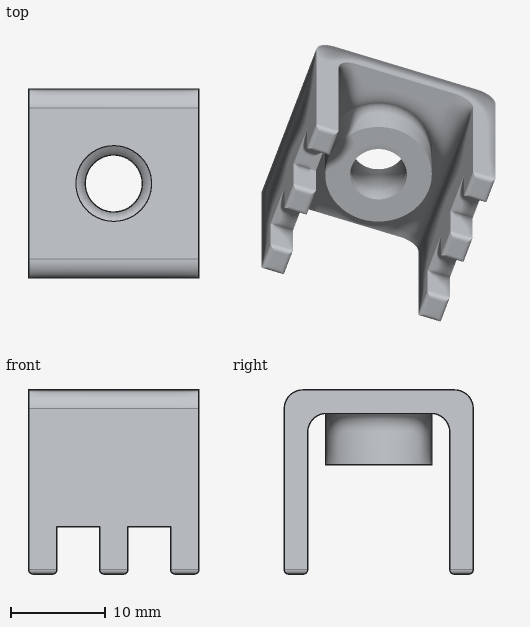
import cadquery as cq

WIDTH = 18.0
DEPTH = 20.0
HEIGHT = 19.5
WALL = 2.5
OUTER_BEND_RADIUS = 2.0
INNER_BEND_RADIUS = 2.0

PINS_PER_WALL = 3
PIN_WIDTH = 3.0
PIN_LENGTH = 5.0
PIN_TIP_RADIUS = 0.5

BOSS_DIAMETER = 11.27
BOSS_BOTTOM_DEPTH = 7.93
HOLE_DIAMETER = 6.0
COUNTERSINK_DIAMETER = 8.0
COUNTERSINK_ANGLE = 90.0

gap_count = PINS_PER_WALL - 1
gap_width = (WIDTH - PINS_PER_WALL * PIN_WIDTH) / gap_count
pin_pitch = PIN_WIDTH + gap_width
boss_length = BOSS_BOTTOM_DEPTH - WALL


def make_channel():
    """Inverted U-shaped channel running along X, with rounded bends."""
    outer = (
        cq.Workplane("XY")
        .box(WIDTH, DEPTH, HEIGHT, centered=(True, True, False))
        .edges("|X and >Z")
        .fillet(OUTER_BEND_RADIUS)
    )
    inner = (
        cq.Workplane("XY")
        .box(WIDTH, DEPTH - 2 * WALL, HEIGHT - WALL, centered=(True, True, False))
        .edges("|X and >Z")
        .fillet(INNER_BEND_RADIUS)
    )
    return outer.cut(inner)


def cut_pin_gaps(body):
    """Notch both side walls from below, leaving the pins."""
    for index in range(gap_count):
        gap_x = (index - (gap_count - 1) / 2) * pin_pitch
        gap = (
            cq.Workplane("XY")
            .center(gap_x, 0)
            .box(gap_width, DEPTH, PIN_LENGTH, centered=(True, True, False))
        )
        body = body.cut(gap)
    return body


def round_pin_tips(body):
    """Round every lower edge of the pins."""
    return body.faces("<Z").edges().fillet(PIN_TIP_RADIUS)


def add_boss(body):
    """Add the round boss that hangs below the top plate."""
    boss = (
        cq.Workplane("XY")
        .workplane(offset=HEIGHT - BOSS_BOTTOM_DEPTH)
        .circle(BOSS_DIAMETER / 2)
        .extrude(boss_length)
    )
    return body.union(boss)


def cut_countersunk_hole(body):
    """Cut the countersunk hole through the top plate and the boss."""
    return (
        body.faces(">Z")
        .workplane(origin=(0, 0, HEIGHT))
        .cskHole(HOLE_DIAMETER, COUNTERSINK_DIAMETER, COUNTERSINK_ANGLE)
    )


channel = make_channel()
pinned_channel = round_pin_tips(cut_pin_gaps(channel))
result = cut_countersunk_hole(add_boss(pinned_channel))